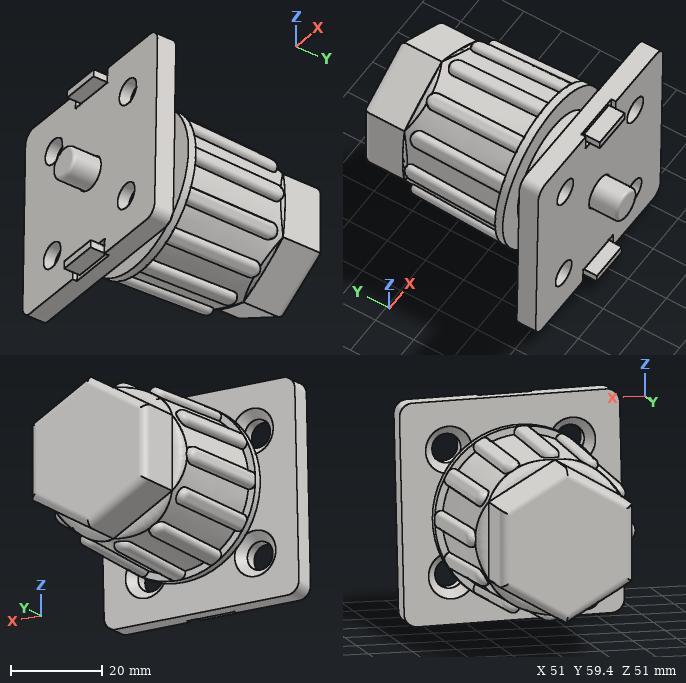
import cadquery as cq
import math


plate_side = 50.0
plate_thickness = 5.0
plate_corner_radius = 3.0
plate_tilt = 1.37
screw_hole_diameter = 6.5
screw_hole_pitch = 28.0
countersink_depth = 2.0
countersink_diameter = screw_hole_diameter + 2 * countersink_depth
neck_diameter = 28.0
neck_end = 12.25
shaft_bore_diameter = 8.4

pocket_width = 12.0
pocket_height = 4.0
pocket_depth = 1.2
tab_margin = 1.0
tab_width = pocket_width - 2 * tab_margin
tab_height = pocket_height - 2 * tab_margin
tab_projection = 3.0

knob_start = neck_end
knob_end = 52.25
collar_diameter = 40.0
collar_end = knob_start + 2.0
draft_angle = 2.0
hex_across_flats = 30.0
hex_length = 11.0
hex_edge_fillet = 1.95
hex_start = knob_end - hex_length
hex_apothem = hex_across_flats / 2
hex_sides = 6
hex_step = 360 / hex_sides
hex_corner_radius = hex_apothem / math.cos(math.radians(hex_step / 2))
draft_slope = math.tan(math.radians(draft_angle))
cushion_stations = 9
cushion_cover = 0.99

rib_count = 12
rib_width = 4.0
rib_fillet = 1.35
rib_depth = 2.7
rib_tip = 39.2
rib_arc_start = rib_tip - rib_width / 2

shaft_diameter = 8.0
shaft_front = -7.2
shaft_end_fillet = 0.8
shaft_socket_depth = 11.9
shaft_rear = knob_start + shaft_socket_depth


def cylinder(diameter, start, end):
    """Cylinder on the Y axis between two Y positions."""
    return cq.Workplane("XZ", origin=(0, start, 0)).circle(diameter / 2).extrude(start - end)


def box(width, height, center_z, start, end):
    """Block centred on X, between two Y positions."""
    center = (0, (start + end) / 2, center_z)
    return cq.Workplane("XY", origin=center).box(width, end - start, height)


def turn(shape, angle):
    """Turn a shape about the Y axis."""
    return shape.rotate((0, 0, 0), (0, 1, 0), angle)


def make_screw_hole():
    """Cutter for one screw hole on the Y axis, countersunk from the rear face of the plate."""
    return (
        cq.Workplane("XY")
        .lineTo(screw_hole_diameter / 2, 0)
        .lineTo(screw_hole_diameter / 2, plate_thickness - countersink_depth)
        .lineTo(countersink_diameter / 2, plate_thickness)
        .lineTo(0, plate_thickness)
        .close()
        .revolve(360, (0, 0, 0), (0, 1, 0))
    )


def make_plate():
    """Square plate with countersunk screw holes, neck, shaft bore and two locating tabs."""
    plate = box(plate_side, plate_side, 0, 0, plate_thickness)
    plate = plate.edges("|Y").fillet(plate_corner_radius)
    screw_hole = make_screw_hole()
    half_pitch = screw_hole_pitch / 2
    for x in (-half_pitch, half_pitch):
        for z in (-half_pitch, half_pitch):
            plate = plate.cut(screw_hole.translate((x, 0, z)))
    for side in (1, -1):
        pocket_z = side * (plate_side - pocket_height) / 2
        plate = plate.cut(box(pocket_width, pocket_height, pocket_z, 0, pocket_depth))
        plate = plate.union(box(tab_width, tab_height, pocket_z, -tab_projection, pocket_depth))
    plate = plate.union(cylinder(neck_diameter, plate_thickness, neck_end))
    plate = plate.cut(cylinder(shaft_bore_diameter, 0, neck_end))
    return turn(plate, plate_tilt)


def make_knob_core():
    """Collar and the drafted grip cone that the hexagon stands on."""
    draft_growth = (hex_start - collar_end) * draft_slope
    collar_radius = collar_diameter / 2
    return (
        cq.Workplane("XY")
        .moveTo(0, knob_start)
        .lineTo(collar_radius, knob_start)
        .lineTo(collar_radius, collar_end)
        .lineTo(hex_corner_radius + draft_growth, collar_end)
        .lineTo(hex_corner_radius, hex_start)
        .lineTo(0, hex_start)
        .close()
        .revolve(360, (0, 0, 0), (0, 1, 0))
    )


def make_hexagon():
    """Hexagonal end of the knob with its flats facing +X and -X."""
    hexagon = (
        cq.Workplane("XZ", origin=(0, hex_start, 0))
        .polygon(hex_sides, 2 * hex_corner_radius)
        .extrude(-hex_length)
    )
    return turn(hexagon, hex_step / 2).faces(">Y").edges().fillet(hex_edge_fillet)


def shoulder_run(z):
    """Distance that a 45 degree slope from the +X flat runs out, and drops, to the grip cone at this Z.

    With run d: (hex_apothem + d)**2 + z**2 = (hex_corner_radius + draft_slope * d)**2,
    which is the quadratic a * d**2 + 2 * b * d + c = 0.
    """
    a = 1 - draft_slope**2
    b = hex_apothem - draft_slope * hex_corner_radius
    c = hex_apothem**2 + z**2 - hex_corner_radius**2
    return (math.sqrt(b**2 - a * c) - b) / a


def make_shoulder_cut():
    """45 degree wedge that slopes from the +X flat down to the grip cone."""
    reach = 2 * shoulder_run(0)
    return (
        cq.Workplane("XY")
        .moveTo(hex_apothem, hex_start)
        .lineTo(hex_apothem + reach, hex_start)
        .lineTo(hex_apothem + reach, hex_start - reach)
        .close()
        .extrude(hex_corner_radius, both=True)
    )


def make_cushion():
    """Rounded cushion on the +X shoulder; its arc radius shrinks to nothing at the hexagon corners."""
    half_flat = hex_corner_radius / 2
    mid_arc = math.radians(45)
    sections = [cq.Vertex.makeVertex(hex_apothem, hex_start, -half_flat)]
    for station in range(1, cushion_stations + 1):
        z = half_flat * (2 * station / (cushion_stations + 1) - 1)
        radius = cushion_cover * shoulder_run(z)
        top = cq.Vector(hex_apothem, hex_start, z)
        middle_x = hex_apothem + radius * math.sin(mid_arc)
        middle_y = hex_start - radius * (1 - math.cos(mid_arc))
        bottom = cq.Vector(hex_apothem + radius, hex_start - radius, z)
        arc = cq.Edge.makeThreePointArc(top, cq.Vector(middle_x, middle_y, z), bottom)
        sections.append(cq.Wire.assembleEdges([arc, cq.Edge.makeLine(bottom, top)]))
    sections.append(cq.Vertex.makeVertex(hex_apothem, hex_start, half_flat))
    return cq.Workplane(cq.occ_impl.shapes.loft(*sections, cap=True))


def make_rib():
    """Grip rib on the +X side: round tip, rounded top edges, top face drafted from the collar rim."""
    draft = math.radians(draft_angle)
    outward = (math.cos(draft), math.sin(draft), 0)
    along = (-math.sin(draft), math.cos(draft), 0)
    top_plane = cq.Plane((collar_diameter / 2, collar_end, 0), xDir=along, normal=outward)
    straight_length = rib_arc_start - collar_end
    rib = (
        cq.Workplane(top_plane)
        .moveTo(0, -rib_width / 2)
        .lineTo(straight_length, -rib_width / 2)
        .threePointArc((straight_length + rib_width / 2, 0), (straight_length, rib_width / 2))
        .lineTo(0, rib_width / 2)
        .close()
        .extrude(-rib_depth)
    )
    top_face = rib.faces(cq.selectors.DirectionMinMaxSelector(cq.Vector(*outward)))
    free_edges = top_face.edges().filter(lambda edge: edge.Center().y > collar_end + rib_width)
    return free_edges.fillet(rib_fillet)


def make_knob():
    """Ribbed knob with a hexagonal end and a blind socket for the shaft."""
    knob = make_knob_core()
    shoulder_cut = make_shoulder_cut()
    cushion = make_cushion()
    for flat in range(hex_sides):
        knob = knob.cut(turn(shoulder_cut, hex_step * flat))
    knob = knob.union(make_hexagon())
    for flat in range(hex_sides):
        knob = knob.union(turn(cushion, hex_step * flat))
    rib = make_rib()
    for index in range(rib_count):
        knob = knob.union(turn(rib, index * 360 / rib_count))
    return knob.cut(cylinder(shaft_diameter, knob_start, shaft_rear))


def make_shaft():
    """Plain shaft through the plate into the knob, with a rounded front edge."""
    shaft = cylinder(shaft_diameter, shaft_front, shaft_rear)
    return shaft.faces("<Y").edges().fillet(shaft_end_fillet)


plate = make_plate()
knob = make_knob()
shaft = make_shaft()

result = cq.Compound.makeCompound([body.solids().val() for body in (plate, knob, shaft)])